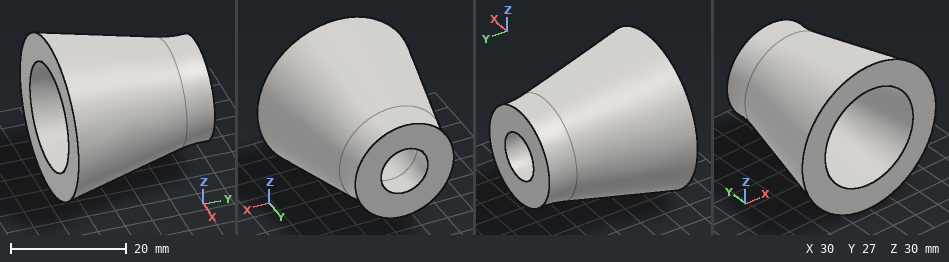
import cadquery as cq
import math

length = 27.0
taper_length = 21.65

base_radius = 15.0
taper_end_radius = 9.95
waist_radius = 9.48

mouth_radius = 9.87
bore_taper_end_radius = 5.0
throat_radius = 4.5


def waisted_solid(start_radius, end_radius, narrowest_radius):
    """Solid of revolution about Y: a cone, then a tangent arc that passes its narrowest point."""
    slope = math.atan2(start_radius - end_radius, taper_length)
    arc_radius = (end_radius - narrowest_radius) / (1 - math.cos(slope))
    waist_position = taper_length + arc_radius * math.sin(slope)
    centre_radius = narrowest_radius + arc_radius
    back_radius = centre_radius - math.sqrt(arc_radius**2 - (length - waist_position) ** 2)
    return (
        cq.Workplane("XY")
        .moveTo(0, 0)
        .lineTo(start_radius, 0)
        .lineTo(end_radius, taper_length)
        .threePointArc((narrowest_radius, waist_position), (back_radius, length))
        .lineTo(0, length)
        .close()
        .revolve(360, (0, 0, 0), (0, 1, 0))
    )


body = waisted_solid(base_radius, taper_end_radius, waist_radius)
bore = waisted_solid(mouth_radius, bore_taper_end_radius, throat_radius)
result = body.cut(bore)